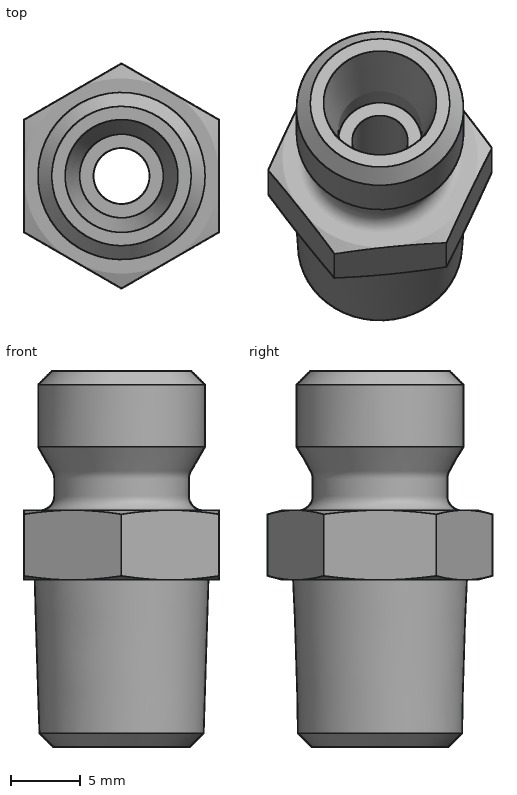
import cadquery as cq
import math

taper_length = 12.0
hex_height = 5.0
connection_length = 10.0
hex_top = taper_length + hex_height
total_length = hex_top + connection_length

across_flats = 14.0
hex_sides = 6
hex_half_side_angle = 180 / hex_sides
across_corners = across_flats / math.cos(math.radians(hex_half_side_angle))
hex_chamfer_angle = 15.0

taper_large_radius = 6.25
taper_per_length = 1 / 32
end_chamfer = 1.0

connection_radius = 12.0 / 2
undercut_radius = 9.7 / 2
undercut_length = 4.55
undercut_cone_angle = 30.0
undercut_fillet = 1.0

through_radius = 4.0 / 2
socket_radius = 6.0 / 2
socket_depth = 7.0
cone_mouth_radius = 8.1 / 2
cone_half_angle = 12.0


def tan_deg(angle):
    return math.tan(math.radians(angle))


def revolve_about_z(profile):
    """Turn a closed (radius, height) profile into a solid of revolution."""
    return profile.close().revolve(360, (0, 0, 0), (0, 1, 0))


def tapered_end():
    chamfer_top_radius = taper_large_radius - (taper_length - end_chamfer) * taper_per_length
    profile = (
        cq.Workplane("XZ")
        .lineTo(chamfer_top_radius - end_chamfer, 0)
        .lineTo(chamfer_top_radius, end_chamfer)
        .lineTo(taper_large_radius, taper_length)
        .lineTo(0, taper_length)
    )
    return revolve_about_z(profile)


def hexagon():
    """Hexagonal prism whose corners are turned off by a shallow cone at both ends."""
    prism = (
        cq.Workplane("XY", origin=(0, 0, taper_length))
        .polygon(hex_sides, across_corners)
        .extrude(hex_height)
        .rotate((0, 0, 0), (0, 0, 1), hex_half_side_angle)
    )
    flat_radius = across_flats / 2
    corner_radius = across_corners / 2
    corner_drop = (corner_radius - flat_radius) * tan_deg(hex_chamfer_angle)
    envelope = (
        cq.Workplane("XZ")
        .moveTo(0, taper_length)
        .lineTo(flat_radius, taper_length)
        .lineTo(corner_radius, taper_length + corner_drop)
        .lineTo(corner_radius, hex_top - corner_drop)
        .lineTo(flat_radius, hex_top)
        .lineTo(0, hex_top)
    )
    return prism.intersect(revolve_about_z(envelope))


def connection_end():
    """Thread blank with an undercut, rounded into the hexagon and into its cone."""
    thread_start = hex_top + undercut_length
    cone_start = thread_start - (connection_radius - undercut_radius) / tan_deg(undercut_cone_angle)
    tangent_length = undercut_fillet * tan_deg(undercut_cone_angle / 2)
    cone_direction = math.radians(undercut_cone_angle)
    fillet_end = (
        undercut_radius + tangent_length * math.sin(cone_direction),
        cone_start + tangent_length * math.cos(cone_direction),
    )
    profile = (
        cq.Workplane("XZ")
        .moveTo(0, hex_top)
        .lineTo(undercut_radius + undercut_fillet, hex_top)
        .radiusArc((undercut_radius, hex_top + undercut_fillet), undercut_fillet)
        .lineTo(undercut_radius, cone_start - tangent_length)
        .radiusArc(fillet_end, undercut_fillet)
        .lineTo(connection_radius, thread_start)
        .lineTo(connection_radius, total_length - end_chamfer)
        .lineTo(connection_radius - end_chamfer, total_length)
        .lineTo(0, total_length)
    )
    return revolve_about_z(profile)


def bore():
    socket_floor = total_length - socket_depth
    cone_depth = (cone_mouth_radius - socket_radius) / tan_deg(cone_half_angle)
    profile = (
        cq.Workplane("XZ")
        .lineTo(through_radius, 0)
        .lineTo(through_radius, socket_floor)
        .lineTo(socket_radius, socket_floor)
        .lineTo(socket_radius, total_length - cone_depth)
        .lineTo(cone_mouth_radius, total_length)
        .lineTo(0, total_length)
    )
    return revolve_about_z(profile)


result = tapered_end().union(hexagon()).union(connection_end()).cut(bore())